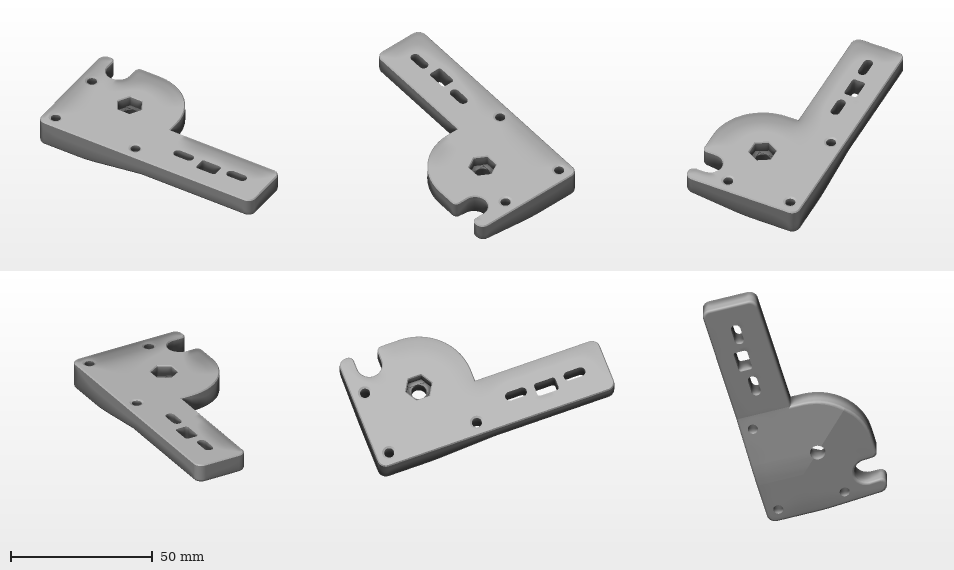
import cadquery as cq
import math

length = 88.8
width = 44.0
thickness = 10.0
arm_width = 20.0
arm_thickness = 7.0
corner_radius = 3.0
top_chamfer = 0.4
bottom_fillet = 1.0

head_radius = 19.5
head_x = 23.4
head_y = width - head_radius
head_edge_x = head_x + head_radius

notch_x = 10.0
notch_width = 9.0
notch_centre_y = 38.6
notch_lip_radius = 1.95

rise = thickness - arm_thickness
slope_start_x = 20.3
slope_start_y = 21.0
slope_blend_radius = 60.0
steepest_underside_normal_z = -0.9

screw_diameter = 3.55
sink_diameter = 5.1
sink_depth = 0.31
screw_left_x = 4.9
screw_right_x = 37.9
screw_low_y = 4.7
screw_high_y = 29.0

hex_flats = 8.35
hex_chamfer = 0.35
hex_depth = 4.1
floor_step = 0.2
bore_diameter = 5.4

window_length = 8.0
window_width = 5.0
window_radius = 1.0
window_x = 65.6
window_y = 8.9
arm_slot_length = 8.0
arm_slot_width = 3.4
arm_slot_spacing = 22.0
arm_slot_y = arm_width / 2


def plan():
    """Plate outline with rounded corners, extruded through the full thickness."""
    left = notch_x - notch_width / 2
    right = notch_x + notch_width / 2
    arc_middle = head_radius * math.sqrt(0.5)
    body = (
        cq.Workplane("XY")
        .lineTo(length, 0)
        .lineTo(length, arm_width)
        .lineTo(head_edge_x, arm_width)
        .lineTo(head_edge_x, head_y)
        .threePointArc((head_x + arc_middle, head_y + arc_middle), (head_x, width))
        .lineTo(right, width)
        .lineTo(right, notch_centre_y)
        .threePointArc((notch_x, notch_centre_y - notch_width / 2), (left, notch_centre_y))
        .lineTo(left, width)
        .lineTo(0, width)
        .close()
        .extrude(thickness)
    )
    for x, y, radius in [
        (0, 0, corner_radius),
        (length, 0, corner_radius),
        (length, arm_width, corner_radius),
        (0, width, corner_radius),
        (left, width, notch_lip_radius),
        (right, width, notch_lip_radius),
    ]:
        corner = cq.selectors.NearestToPointSelector((x, y, thickness / 2))
        body = body.edges("|Z").edges(corner).fillet(radius)
    return body


def wedge(plane, slope_start, slope_end, reach, depth):
    """Side profile whose underside bends upward, reaching the arm's underside at slope_end."""
    slope = math.atan2(rise, slope_end - slope_start)
    tangent = slope_blend_radius * math.tan(slope / 2)
    bend_start = slope_start - tangent
    bend_middle = (
        bend_start + slope_blend_radius * math.sin(slope / 2),
        slope_blend_radius * (1 - math.cos(slope / 2)),
    )
    bend_end = (slope_start + tangent * math.cos(slope), tangent * math.sin(slope))
    return (
        cq.Workplane(plane)
        .lineTo(bend_start, 0)
        .threePointArc(bend_middle, bend_end)
        .lineTo(reach, (reach - slope_start) * math.tan(slope))
        .lineTo(reach, thickness)
        .lineTo(0, thickness)
        .close()
        .extrude(depth)
    )


def rounded_body(profile):
    """Plate outline cut to one profile, with the rim of its underside rounded."""
    body = plan().intersect(profile)
    faces = body.faces().vals()
    underside = [face for face in faces if face.normalAt().z < steepest_underside_normal_z]
    edges = [edge for face in underside for edge in face.Edges()]
    rim = [edge for edge in edges if sum(edge.isSame(other) for other in edges) == 1]
    return body.newObject(rim).fillet(bottom_fillet)


def plate():
    """Slab as thick as the arm, thickened toward one corner, with a chamfered top rim."""
    arm_layer = cq.Workplane("XY", origin=(0, 0, rise)).rect(2 * length, 2 * width).extrude(arm_thickness)
    slab = rounded_body(arm_layer)
    along_x = rounded_body(wedge("XZ", slope_start_x, head_edge_x, length, -width))
    along_y = rounded_body(wedge("YZ", slope_start_y, width, width, length))
    return along_x.intersect(along_y).union(slab).faces(">Z").chamfer(top_chamfer)


def screw_holes():
    """Through holes with a shallow conical sink at the top face."""
    spots = [(screw_left_x, screw_low_y), (screw_right_x, screw_low_y), (screw_left_x, screw_high_y)]
    sink_taper = math.atan2((sink_diameter - screw_diameter) / 2, sink_depth)
    top = cq.Workplane("XY", origin=(0, 0, thickness)).pushPoints(spots)
    holes = top.circle(screw_diameter / 2).extrude(-thickness)
    sinks = top.circle(sink_diameter / 2).extrude(-sink_depth, taper=math.degrees(sink_taper))
    return holes.union(sinks)


def hex_pocket():
    """Hexagonal pocket whose floor steps down to a strip, a square and a round bore."""

    def level(z):
        return cq.Workplane("XY", origin=(head_x, head_y, z))

    floor = thickness - hex_depth
    hex_corners = hex_flats / math.cos(math.pi / 6)
    rim_corners = (hex_flats + 2 * hex_chamfer) / math.cos(math.pi / 6)
    pocket = level(floor).polygon(6, hex_corners).extrude(hex_depth)
    strip_floor = level(floor - floor_step)
    strip_band = strip_floor.rect(hex_corners, bore_diameter).extrude(floor_step)
    strip = strip_floor.polygon(6, hex_corners).extrude(floor_step).intersect(strip_band)
    square = level(floor - 2 * floor_step).rect(bore_diameter, bore_diameter).extrude(floor_step)
    bore = level(0).circle(bore_diameter / 2).extrude(floor)
    rim = level(thickness).polygon(6, rim_corners).extrude(-hex_chamfer, taper=45)
    return pocket.union(strip).union(square).union(bore).union(rim)


def arm_openings():
    """Rounded window between two straight slots, all through the arm."""
    window = (
        cq.Workplane("XY")
        .center(window_x, window_y)
        .rect(window_length, window_width)
        .extrude(thickness)
        .edges("|Z")
        .fillet(window_radius)
    )
    slots = (
        cq.Workplane("XY")
        .center(window_x, arm_slot_y)
        .rarray(arm_slot_spacing, 0.9, 2, 1)
        .slot2D(arm_slot_length, arm_slot_width)
        .extrude(thickness)
    )
    return window.union(slots)


result = plate().cut(screw_holes()).cut(hex_pocket()).cut(arm_openings())